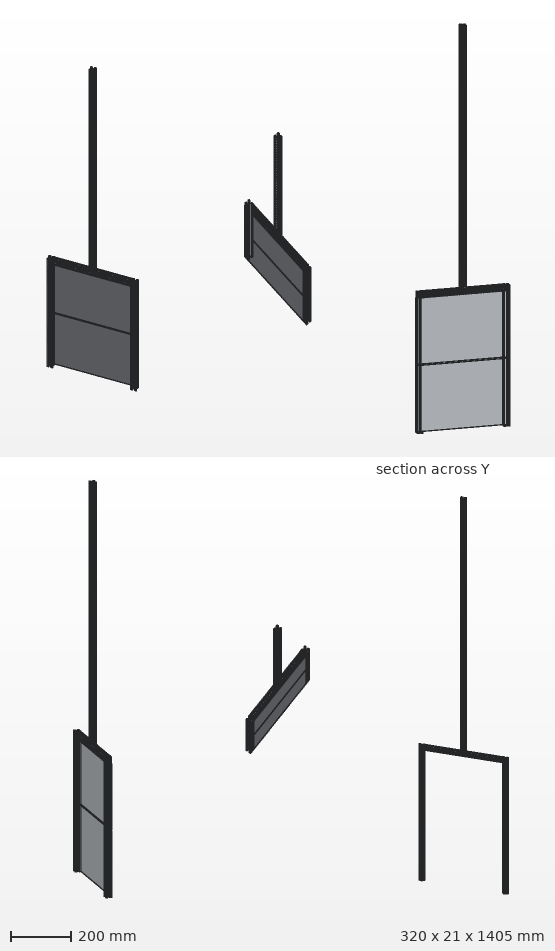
import cadquery as cq

width = 320.0
depth = 21.0
height = 1405.0

frame_height = 490.0
sheet_thickness = 1.1
sheet_height = 230.0
sheet_gap = 4.0

bar_side = depth - sheet_thickness
corner_radius = 1.0
bore_diameter = 5.0
mouth_half_width = 4.6
neck_half_width = 3.1
cavity_half_width = 5.5
floor_half_width = 2.0
neck_depth = mouth_half_width - neck_half_width
lip_depth = 1.8
floor_depth = 6.0
taper_depth = floor_depth - (cavity_half_width - floor_half_width)

post_offset = (width - bar_side) / 2
beam_length = width - 2 * bar_side
bar_center_y = -sheet_thickness / 2
back_face_y = depth / 2 - sheet_thickness


def slot_cutter(length):
    """Tool for the slot running along Z in the +Y side of a bar centred on the Z axis."""
    face = bar_side / 2
    right_side = [
        (mouth_half_width, face),
        (neck_half_width, face - neck_depth),
        (neck_half_width, face - lip_depth),
        (cavity_half_width, face - lip_depth),
        (cavity_half_width, face - taper_depth),
        (floor_half_width, face - floor_depth),
    ]
    left_side = [(-x, y) for x, y in reversed(right_side)]
    return cq.Workplane("XY").polyline(right_side + left_side).close().extrude(length)


def slotted_bar(length):
    """Bar standing on Z = 0, with rounded corners, a bore and a slot in each side."""
    bar = cq.Workplane("XY").rect(bar_side, bar_side).extrude(length)
    bar = bar.edges("|Z").fillet(corner_radius)
    bar = bar.cut(cq.Workplane("XY").circle(bore_diameter / 2).extrude(length))
    slot = slot_cutter(length)
    for angle in (0, 90, 180, 270):
        bar = bar.cut(slot.rotate((0, 0, 0), (0, 0, 1), angle))
    return bar


def back_sheet(bottom_z):
    """Full-width sheet lying against the back of the posts."""
    sheet = cq.Workplane("XY").box(width, sheet_thickness, sheet_height, centered=(True, False, False))
    return sheet.translate((0, back_face_y, bottom_z))


beam = slotted_bar(beam_length).rotate((0, 0, 0), (0, 1, 0), 90)
beam = beam.translate((-beam_length / 2, bar_center_y, frame_height - bar_side / 2))

pole = slotted_bar(height - frame_height).translate((0, bar_center_y, frame_height))

result = beam.union(pole)

post = slotted_bar(frame_height)
for x in (-post_offset, post_offset):
    result = result.union(post.translate((x, bar_center_y, 0)))

for bottom_z in (0, sheet_height + sheet_gap):
    result = result.union(back_sheet(bottom_z))